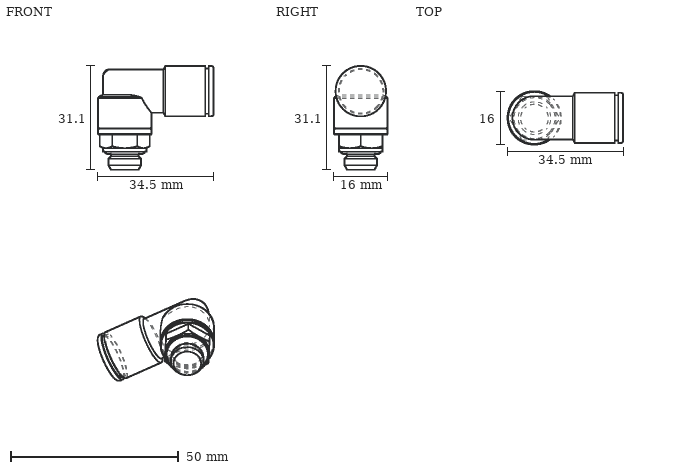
import cadquery as cq
import math


elbow_radius = 6.503
corner_fillet = 2.0
rounding_end = 0.05
collar_radius = 8.0
collar_cone_top_z = -1.05
collar_cone_bottom_z = -1.7
collar_cone_radius = 7.73
collar_side_top_z = -2.17
collar_bottom_z = -11.0
socket_radius = 7.55
socket_start_x = 11.5
socket_chamfer_length = 0.65
socket_end_x = 24.0

collet_neck_radius = 6.8
collet_flange_radius = 7.505
collet_flange_x = 25.0
collet_end_x = 34.5 - collar_radius
collet_rounding = 0.65

gap_height = 0.25
gap_radius = 7.73
stud_collar_bottom_z = -12.95
stud_collar_chamfer = 0.17
hex_across_flats = 13.0
hex_bottom_z = -16.97
hex_chamfer_angle = 30
flange_radius = hex_across_flats / 2
flange_bottom_z = -18.0
stud_neck_radius = 4.157
stud_neck_bottom_z = -19.42
thread_radius = 4.85
thread_top_z = -20.1
thread_bottom_z = -22.1
stud_tip_radius = 4.1
stud_bottom_z = socket_radius - 31.05

seal_top_radius = 6.1
seal_bottom_radius = 5.1
seal_height = 0.8
seal_bulge = 0.15


def revolve_about_z(profile):
    """Turn a closed (radius, z) profile around the swivel axis."""
    return profile.close().revolve(360, (0, 0, 0), (0, 1, 0))


def revolve_about_x(profile):
    """Turn a closed (x, radius) profile around the tube axis."""
    return profile.close().revolve(360, (0, 0, 0), (1, 0, 0))


def make_half_space(triangle, half_depth):
    """Large triangular prism along Y, from (x, z) corners."""
    return cq.Workplane("XZ").polyline(triangle).close().extrude(half_depth, both=True)


def make_mitred_corner():
    """Two equal cylinders joined at 45 degrees, with the outer mitre edge rounded."""
    reach = 2 * elbow_radius
    vertical_leg = (
        cq.Workplane("XY").workplane(offset=collar_bottom_z)
        .circle(elbow_radius).extrude(reach - collar_bottom_z)
    )
    horizontal_leg = (
        cq.Workplane("YZ").workplane(offset=-reach)
        .circle(elbow_radius).extrude(reach + socket_end_x)
    )
    far = 4 * socket_end_x
    below_mitre = make_half_space([(-far, far), (far, -far), (-far, -far)], far)
    above_mitre = make_half_space([(-far, far), (far, -far), (far, far)], far)
    corner = vertical_leg.intersect(below_mitre).union(horizontal_leg.intersect(above_mitre))
    outer_side = make_half_space(
        [(-far - rounding_end, -far), (-far - rounding_end, far), (far - rounding_end, far)], far
    )
    outer_half = corner.intersect(outer_side)
    inner_half = corner.cut(outer_side)
    outer_edge = cq.selectors.BoxSelector((-reach, -reach, corner_fillet), (-corner_fillet, reach, reach))
    rounded_half = outer_half.edges(outer_edge).fillet(corner_fillet)
    return rounded_half.union(inner_half)


def make_housing():
    collar = revolve_about_z(
        cq.Workplane("XZ")
        .moveTo(0, collar_cone_top_z)
        .lineTo(elbow_radius, collar_cone_top_z)
        .lineTo(collar_cone_radius, collar_cone_bottom_z)
        .lineTo(collar_radius, collar_side_top_z)
        .lineTo(collar_radius, collar_bottom_z)
        .lineTo(0, collar_bottom_z)
    )
    socket = revolve_about_x(
        cq.Workplane("XZ")
        .moveTo(socket_start_x, 0)
        .lineTo(socket_start_x, elbow_radius)
        .lineTo(socket_start_x + socket_chamfer_length, socket_radius)
        .lineTo(socket_end_x, socket_radius)
        .lineTo(socket_end_x, 0)
    )
    return make_mitred_corner().union(collar).union(socket)


def make_collet():
    collet = revolve_about_x(
        cq.Workplane("XZ")
        .moveTo(socket_end_x, 0)
        .lineTo(socket_end_x, collet_neck_radius)
        .lineTo(collet_flange_x, collet_neck_radius)
        .lineTo(collet_flange_x, collet_flange_radius)
        .lineTo(collet_end_x, collet_flange_radius)
        .lineTo(collet_end_x, 0)
    )
    return collet.faces(">X").edges().fillet(collet_rounding)


def make_hexagon():
    """Hexagon with corners on the X axis and its lower corners bevelled by a cone."""
    corner_radius = hex_across_flats / 2 / math.cos(math.radians(30))
    height = stud_collar_bottom_z - hex_bottom_z
    bevel_rise = (corner_radius - flange_radius) * math.tan(math.radians(hex_chamfer_angle))
    prism = (
        cq.Workplane("XY").workplane(offset=hex_bottom_z)
        .polygon(6, 2 * corner_radius).extrude(height)
    )
    bevel_envelope = revolve_about_z(
        cq.Workplane("XZ")
        .moveTo(0, hex_bottom_z)
        .lineTo(flange_radius, hex_bottom_z)
        .lineTo(corner_radius, hex_bottom_z + bevel_rise)
        .lineTo(corner_radius, stud_collar_bottom_z)
        .lineTo(0, stud_collar_bottom_z)
    )
    return prism.intersect(bevel_envelope)


def make_stud():
    stud_collar_top_z = collar_bottom_z - gap_height
    collar = revolve_about_z(
        cq.Workplane("XZ")
        .moveTo(0, collar_bottom_z)
        .lineTo(gap_radius, collar_bottom_z)
        .lineTo(gap_radius, stud_collar_top_z)
        .lineTo(collar_radius, stud_collar_top_z)
        .lineTo(collar_radius, stud_collar_bottom_z + stud_collar_chamfer)
        .lineTo(collar_radius - stud_collar_chamfer, stud_collar_bottom_z)
        .lineTo(0, stud_collar_bottom_z)
    )
    flange_and_thread = revolve_about_z(
        cq.Workplane("XZ")
        .moveTo(0, hex_bottom_z)
        .lineTo(flange_radius, hex_bottom_z)
        .lineTo(flange_radius, flange_bottom_z)
        .lineTo(stud_neck_radius, flange_bottom_z)
        .lineTo(stud_neck_radius, stud_neck_bottom_z)
        .lineTo(thread_radius, thread_top_z)
        .lineTo(thread_radius, thread_bottom_z)
        .lineTo(stud_tip_radius, stud_bottom_z)
        .lineTo(0, stud_bottom_z)
    )
    return collar.union(make_hexagon()).union(flange_and_thread)


def make_seal():
    """Ring around the stud neck, tapering downwards with a bulging outer side."""
    seal_bottom_z = flange_bottom_z - seal_height
    return revolve_about_z(
        cq.Workplane("XZ")
        .moveTo(stud_neck_radius, flange_bottom_z)
        .lineTo(seal_top_radius, flange_bottom_z)
        .sagittaArc((seal_bottom_radius, seal_bottom_z), seal_bulge)
        .lineTo(stud_neck_radius, seal_bottom_z)
    )


housing = make_housing()
collet = make_collet()
stud = make_stud()
seal = make_seal()

result = cq.Compound.makeCompound([housing.val(), collet.val(), stud.val(), seal.val()])